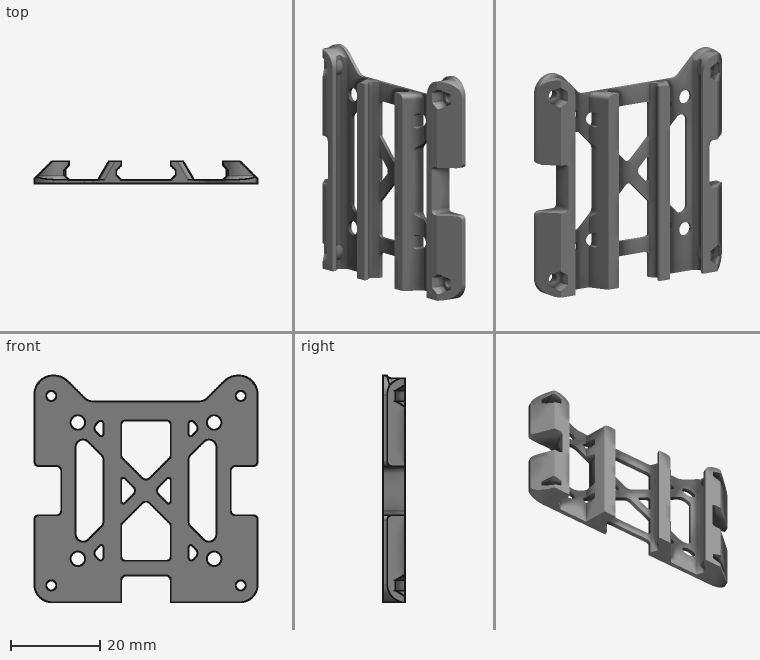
import cadquery as cq
import math

HALF = 25.0
PLATE_T = 0.8
DEPTH = 5.0
TOP_EDGE = 20.0
BOTTOM_R = 4.0
EAR_FOOT_R = 2.6
CUT_R = 1.0

CORNER_PITCH = 42.4
CORNER_D = 2.2
SCREW = CORNER_PITCH / 2
NUT_FLATS = 4.0
NUT_SEAT = 2.0
INNER_PITCH = 30.5
INNER_D = 3.2

EAR_R = 4.59
EAR_OUTER_R = 4.3
EAR_X = HALF - EAR_OUTER_R
EAR_TOP = SCREW + EAR_R

OPENING = 5.5
NOTCH_END = 19.0
STRUT = 2.0
WINDOW_END = 15.65
SLOT_IN = 9.56
SLOT_OUT = 15.73
SLOT_R = 1.65
BEND_R = 1.3
SMALL_R = 0.45
SIDE_WINDOW_R = 0.6
BLUNT_R = 0.8
TIP_R = 1.2
SIDE_WINDOW_PEAK = 26.0

RAIL_END_R = 4.0
OUTER_LIP = SCREW - RAIL_END_R
INNER_LIP = OPENING
LIP_Y = 4.1
GROOVE = 1.15
RIM = 1.0
INNER_FOOT = 10.75
INNER_SLANT = 30.0
INNER_END_R = 1.15
BOSS_R = 3.3
SKIRT_R = 1.06

PICK = 0.1


def prism_y(points, depth=DEPTH):
    """Extrude an XZ polygon from the front face towards +Y."""
    return cq.Workplane("XZ").polyline(points).close().extrude(-depth)


def prism_z(points, bottom, top):
    """Extrude an XY polygon along Z."""
    return cq.Workplane("XY").workplane(offset=bottom).polyline(points).close().extrude(top - bottom)


def cylinder_y(x, z, radius, start, end):
    return cq.Workplane("XZ", origin=(x, start, z)).circle(radius).extrude(start - end)


def round_edges(body, x, z, radius):
    """Round the Y-parallel edge that passes through (x, z)."""
    near = cq.selectors.BoxSelector((x - PICK, -PICK, z - PICK), (x + PICK, DEPTH + PICK, z + PICK))
    return body.edges(near).fillet(radius)


def both_sides(body):
    return body.union(body.mirror("YZ"))


def make_outline():
    """Full-depth prism of the plate outline with ears, corners and edge notches."""
    tangent = EAR_R * math.sqrt(0.5)
    slope_x = EAR_X - tangent
    slope_z = SCREW + tangent
    foot_x = slope_x - (slope_z - TOP_EDGE)
    body = (
        cq.Workplane("XZ")
        .moveTo(-HALF, -HALF)
        .lineTo(HALF, -HALF)
        .lineTo(HALF, EAR_TOP - EAR_OUTER_R)
        .radiusArc((EAR_X, EAR_TOP), -EAR_OUTER_R)
        .radiusArc((slope_x, slope_z), -EAR_R)
        .lineTo(foot_x, TOP_EDGE)
        .lineTo(-foot_x, TOP_EDGE)
        .lineTo(-slope_x, slope_z)
        .radiusArc((-EAR_X, EAR_TOP), -EAR_R)
        .radiusArc((-HALF, EAR_TOP - EAR_OUTER_R), -EAR_OUTER_R)
        .close()
        .extrude(-DEPTH)
    )
    bottom_notch = prism_y([(-OPENING, -HALF), (OPENING, -HALF), (OPENING, -NOTCH_END), (-OPENING, -NOTCH_END)])
    body = body.cut(bottom_notch)
    for side in (-1, 1):
        body = body.cut(prism_y([
            (side * HALF, -OPENING),
            (side * NOTCH_END, -OPENING),
            (side * NOTCH_END, OPENING),
            (side * HALF, OPENING),
        ]))
    for side in (-1, 1):
        body = round_edges(body, side * HALF, -HALF, BOTTOM_R)
        body = round_edges(body, side * foot_x, TOP_EDGE, EAR_FOOT_R)
        body = round_edges(body, side * OPENING, -NOTCH_END, CUT_R)
        for end in (-OPENING, OPENING):
            body = round_edges(body, side * HALF, end, CUT_R)
            body = round_edges(body, side * NOTCH_END, end, CUT_R)
    return body


def rounded_window(corners):
    """Window prism from (x, z, corner radius) triples."""
    body = prism_y([(x, z) for x, z, _ in corners])
    for x, z, radius in corners:
        body = round_edges(body, x, z, radius)
    return body


def make_windows():
    """Openings left between the crossed diagonal struts."""
    middle = rounded_window([
        (0, STRUT, TIP_R),
        (OPENING, OPENING + STRUT, SMALL_R),
        (OPENING, WINDOW_END, BLUNT_R),
        (-OPENING, WINDOW_END, BLUNT_R),
        (-OPENING, OPENING + STRUT, SMALL_R),
    ])
    side_triangle = rounded_window([
        (STRUT, 0, TIP_R),
        (OPENING, OPENING - STRUT, SMALL_R),
        (OPENING, STRUT - OPENING, SMALL_R),
    ])
    slot = rounded_window([
        (SLOT_IN, SLOT_IN - STRUT, BEND_R),
        (SLOT_OUT, SLOT_OUT - STRUT, SLOT_R),
        (SLOT_OUT, STRUT - SLOT_OUT, SLOT_R),
        (SLOT_IN, STRUT - SLOT_IN, BEND_R),
    ])
    peak_x = (SIDE_WINDOW_PEAK - STRUT) / 2
    side_window = rounded_window([
        (SLOT_IN, SLOT_IN + STRUT, SMALL_R),
        (peak_x, peak_x + STRUT, TIP_R),
        (SLOT_IN, SIDE_WINDOW_PEAK - SLOT_IN, SIDE_WINDOW_R),
    ])
    windows = middle.union(middle.mirror("XY"))
    right = side_triangle.union(slot).union(side_window).union(side_window.mirror("XY"))
    return windows.union(both_sides(right))


def groove_profile(lip, reach):
    """XY section of the space beside a right-hand rail: groove behind the lip plus reach towards -X."""
    deep = lip + GROOVE
    free = lip - reach
    return [
        (free, PLATE_T),
        (lip, PLATE_T),
        (deep, PLATE_T + GROOVE),
        (deep, LIP_Y - GROOVE),
        (lip, LIP_Y),
        (lip, DEPTH),
        (free, DEPTH),
    ]


def make_outer_rail():
    """Bevelled right rail, round at the top, grooved on its inner side."""
    rail = prism_y([(OUTER_LIP, -HALF), (HALF, -HALF), (HALF, SCREW), (OUTER_LIP, SCREW)])
    rail = rail.union(cylinder_y(SCREW, SCREW, RAIL_END_R, 0, DEPTH))
    skirt = (
        cq.Workplane("XY", origin=(SCREW, 0, SCREW))
        .moveTo(RAIL_END_R - SKIRT_R, 0)
        .lineTo(RAIL_END_R + SKIRT_R, 0)
        .lineTo(RAIL_END_R + SKIRT_R, PLATE_T)
        .radiusArc((RAIL_END_R, PLATE_T + SKIRT_R), SKIRT_R)
        .lineTo(RAIL_END_R - SKIRT_R, PLATE_T + SKIRT_R)
        .close()
        .revolve(180, (0, 0, 0), (0, -1, 0))
    )
    rail = rail.union(skirt)
    groove = prism_z(groove_profile(OUTER_LIP, RAIL_END_R), -HALF, EAR_TOP)
    for level in (-SCREW, SCREW):
        groove = groove.cut(cylinder_y(SCREW, level, BOSS_R, 0, DEPTH))
    bevel = DEPTH - RIM
    wedge = prism_z([(HALF, RIM), (HALF + bevel, RIM), (HALF + bevel, DEPTH), (HALF - bevel, DEPTH)],
                    -HALF, EAR_TOP)
    return rail.cut(groove).cut(wedge)


def make_inner_rail():
    """Leaning right rail with a grooved inner side and a rounded top corner."""
    lean = (DEPTH - PLATE_T) * math.tan(math.radians(INNER_SLANT))
    rail = prism_z([
        (INNER_LIP, PLATE_T),
        (INNER_FOOT, PLATE_T),
        (INNER_FOOT - lean, DEPTH),
        (INNER_LIP, DEPTH),
    ], -HALF, TOP_EDGE)
    rail = rail.faces(">Z").edges(">X").fillet(INNER_END_R)
    return rail.cut(prism_z(groove_profile(INNER_LIP, INNER_LIP), -HALF, TOP_EDGE))


def square_pattern(pitch, start=0, turn=0):
    """Four points on an XZ plane at Y = start, with sketches turned by an angle in degrees."""
    plane = cq.Workplane("XZ", origin=(0, start, 0)).transformed(rotate=(0, 0, turn))
    return plane.rect(pitch, pitch, forConstruction=True).vertices()


def make_holes():
    """Screw holes, and nut pockets with two flats facing along X."""
    nut_corners = NUT_FLATS / math.cos(math.radians(30))
    nuts = square_pattern(CORNER_PITCH, NUT_SEAT, 90).polygon(6, nut_corners).extrude(NUT_SEAT - DEPTH)
    screws = square_pattern(CORNER_PITCH).circle(CORNER_D / 2).extrude(-DEPTH)
    inner = square_pattern(INNER_PITCH).circle(INNER_D / 2).extrude(-DEPTH)
    return nuts.union(screws).union(inner)


outline = make_outline()
plate = cq.Workplane("XZ").rect(2 * EAR_TOP, 2 * EAR_TOP).extrude(-PLATE_T)
rails = both_sides(make_outer_rail().union(make_inner_rail()))
result = plate.union(rails).intersect(outline).cut(make_windows()).cut(make_holes())